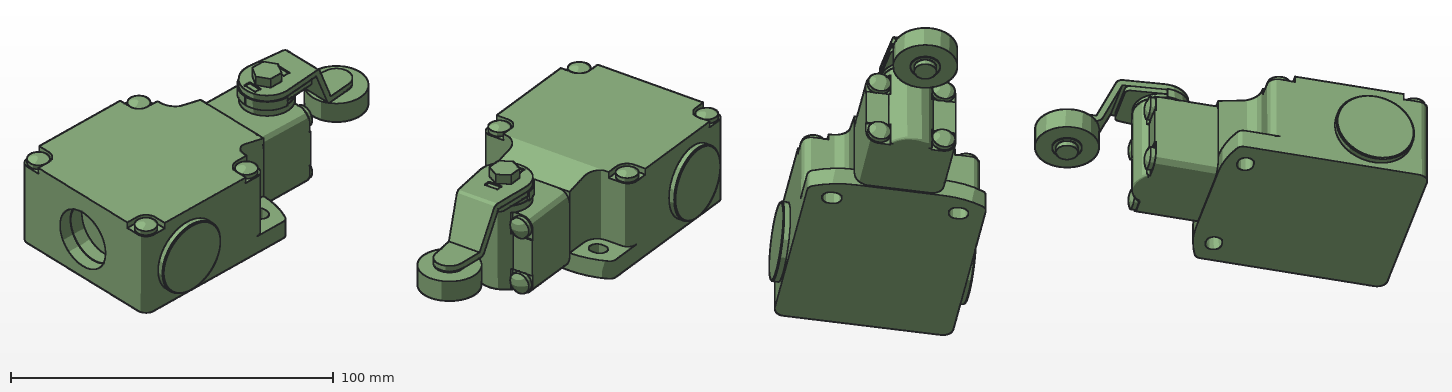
import cadquery as cq
import math


HOUSING_WIDTH = 56.3
BODY_LENGTH = 51.2
HOUSING_HEIGHT = 31.4
CORNER_RADIUS = 3.3
FLANGE_HEIGHT = 6.4
FLANGE_END_Y = 64.0
FLANGE_SWEEP_RADIUS = 29.7
FLANGE_CORNER_RADIUS = 2.4
NECK_FILLET = 5.0

SLOT_LENGTH = 6.2
SLOT_WIDTH = 5.1
SLOT_X = 20.0
SLOT_Y = 56.8

ENTRY_HEIGHT = 14.5
ENTRY_RADIUS = 10.0
ENTRY_DEPTH = 9.1
ENTRY_MOUTH_RADIUS = 10.2
ENTRY_MOUTH_DEPTH = 4.4
PLUG_RADIUS = 12.5
PLUG_THICKNESS = 2.3
PLUG_CHAMFER = 0.4
PLUG_Y = 17.8

SCREW_RADIUS = 3.6
SCREW_INSET = 4.0
SCREW_SHANK_HEIGHT = 1.5
SCREW_DOME_HEIGHT = 1.1
RECESS_SIZE = 8.2
RECESS_CORNER_RADIUS = 3.9
RECESS_DEPTH = 2.1

HEAD_WIDTH = 28.3
HEAD_BOTTOM = 0.5
HEAD_TOP = 28.5
HEAD_END_Y = 84.3
HEAD_EDGE_RADIUS = 4.3
HEAD_RECESS_SIZE = 7.6
HEAD_RECESS_DEPTH = 0.5
SHAFT_Y = 79.0
BOSS_RADIUS = 8.8
BOSS_TOP = 31.0
BOSS_BOTTOM_FILLET = 1.0

PLATE_THICKNESS = 2.1
PLATE_BOTTOM = 34.2
PLATE_TOP = PLATE_BOTTOM + PLATE_THICKNESS
FOOT_TOP = 21.9
FOOT_BOTTOM = FOOT_TOP - PLATE_THICKNESS
UPPER_BEND_Y = 93.0
ARM_ANGLE = 66.0
PLATE_END_RADIUS = 8.8
PLATE_TIP_RADIUS = 5.0
UPPER_BEND_HALF_WIDTH = 7.5
LOWER_BEND_HALF_WIDTH = 5.8
PLATE_SLOT_WIDTH = 4.9
PLATE_SLOT_LENGTH = 2.4
PLATE_SLOT_OFFSET = 6.2
BOLT_TOP = 39.7
BOLT_ACROSS_CORNERS = 9.5

HUB_FRONT_RADIUS = 9.3
HUB_BACK_RADIUS = 8.7
TONGUE_BOTTOM = 32.4
TONGUE_END_Y = 91.8
TONGUE_CORNER_RADIUS = 1.7
INDEX_NOTCH = 0.4
TAB_RECESS = 0.5

ROLLER_RADIUS = 10.0
ROLLER_TOP = 19.2
ROLLER_BOTTOM = 12.1
ROLLER_Y = 118.8 - ROLLER_RADIUS
PIN_RADIUS = 3.5
PIN_BOTTOM = 10.0
PIN_COLLAR_RADIUS = 4.6
LOWER_COLLAR_THICKNESS = 0.4

HALF_WIDTH = HOUSING_WIDTH / 2
HALF_HEAD = HEAD_WIDTH / 2
SIDES = (-1, 1)

ARM_SIN = math.sin(math.radians(ARM_ANGLE))
ARM_COS = math.cos(math.radians(ARM_ANGLE))
ARM_START_Y = UPPER_BEND_Y + PLATE_THICKNESS * ARM_SIN
ARM_START_Z = PLATE_BOTTOM + PLATE_THICKNESS * ARM_COS
LOWER_BEND_Y = ARM_START_Y + (ARM_START_Z - FOOT_TOP) * ARM_COS / ARM_SIN


def cylinder(x, y, radius, bottom, top):
    return cq.Workplane("XY", origin=(x, y, bottom)).circle(radius).extrude(top - bottom)


def block(x0, x1, y0, y1, z0, z1):
    return cq.Workplane("XY").box(x1 - x0, y1 - y0, z1 - z0, centered=False).translate((x0, y0, z0))


def domed_screw():
    """A screw standing on the XY plane, with a spherical cap."""
    shank = SCREW_SHANK_HEIGHT
    top = shank + SCREW_DOME_HEIGHT
    dome_radius = (SCREW_RADIUS**2 + SCREW_DOME_HEIGHT**2) / (2 * SCREW_DOME_HEIGHT)
    half_angle = math.asin(SCREW_RADIUS / dome_radius) / 2
    middle = (dome_radius * math.sin(half_angle), top - dome_radius * (1 - math.cos(half_angle)))
    return (
        cq.Workplane("XZ")
        .lineTo(SCREW_RADIUS, 0)
        .lineTo(SCREW_RADIUS, shank)
        .threePointArc(middle, (0, top))
        .close()
        .revolve(360, (0, 0), (0, 1))
    )


def flange():
    """Mounting flange with swept-back corners and two slots."""
    sweep_run = HALF_WIDTH - HALF_HEAD
    sweep_angle = math.asin(sweep_run / FLANGE_SWEEP_RADIUS)
    sweep_centre_y = FLANGE_END_Y - FLANGE_SWEEP_RADIUS
    middle_x = HALF_HEAD + FLANGE_SWEEP_RADIUS * math.sin(sweep_angle / 2)
    middle_y = sweep_centre_y + FLANGE_SWEEP_RADIUS * math.cos(sweep_angle / 2)
    corner_y = sweep_centre_y + FLANGE_SWEEP_RADIUS * math.cos(sweep_angle)
    start_y = BODY_LENGTH / 2
    plate = (
        cq.Workplane("XY")
        .moveTo(-HALF_WIDTH, start_y)
        .lineTo(-HALF_WIDTH, corner_y)
        .threePointArc((-middle_x, middle_y), (-HALF_HEAD, FLANGE_END_Y))
        .lineTo(HALF_HEAD, FLANGE_END_Y)
        .threePointArc((middle_x, middle_y), (HALF_WIDTH, corner_y))
        .lineTo(HALF_WIDTH, start_y)
        .close()
        .extrude(FLANGE_HEIGHT)
    )
    corner_box = cq.selectors.BoxSelector(
        (-HALF_WIDTH - 1.2, corner_y - 1.2, -1.2), (HALF_WIDTH + 1.2, corner_y + 1.2, FLANGE_HEIGHT + 1.2)
    )
    plate = plate.edges("|Z").edges(corner_box).fillet(FLANGE_CORNER_RADIUS)
    slots = (
        cq.Workplane("XY")
        .pushPoints([(side * SLOT_X, SLOT_Y) for side in SIDES])
        .slot2D(SLOT_LENGTH, SLOT_WIDTH)
        .extrude(FLANGE_HEIGHT)
    )
    return plate.cut(slots)


def neck():
    """Tapered block that joins the housing to the head, flared into the housing's end wall."""
    flare_half = HALF_HEAD + NECK_FILLET
    flare_y = BODY_LENGTH + NECK_FILLET
    arc_offset = NECK_FILLET * (1 - math.sqrt(0.5))
    arc_x = HALF_HEAD + arc_offset
    arc_y = BODY_LENGTH + arc_offset
    start_y = BODY_LENGTH - CORNER_RADIUS
    plan = (
        cq.Workplane("XY")
        .moveTo(-flare_half, start_y)
        .lineTo(-flare_half, BODY_LENGTH)
        .threePointArc((-arc_x, arc_y), (-HALF_HEAD, flare_y))
        .lineTo(-HALF_HEAD, FLANGE_END_Y)
        .lineTo(HALF_HEAD, FLANGE_END_Y)
        .lineTo(HALF_HEAD, flare_y)
        .threePointArc((arc_x, arc_y), (flare_half, BODY_LENGTH))
        .lineTo(flare_half, start_y)
        .close()
        .extrude(HOUSING_HEIGHT)
    )
    side_profile = (
        cq.Workplane("YZ")
        .polyline([
            (start_y, 0),
            (start_y, HOUSING_HEIGHT),
            (BODY_LENGTH, HOUSING_HEIGHT),
            (FLANGE_END_Y, HEAD_TOP),
            (FLANGE_END_Y, 0),
        ])
        .close()
        .extrude(flare_half, both=True)
    )
    return plan.intersect(side_profile)


def make_housing():
    housing = (
        block(-HALF_WIDTH, HALF_WIDTH, 0, BODY_LENGTH, 0, HOUSING_HEIGHT)
        .edges("|Z")
        .fillet(CORNER_RADIUS)
        .union(flange())
        .union(neck())
    )

    floor = HOUSING_HEIGHT - RECESS_DEPTH
    reach = 2 * RECESS_SIZE
    centre_y = BODY_LENGTH / 2
    inner_x = HALF_WIDTH - RECESS_SIZE
    inner_y = centre_y - RECESS_SIZE
    for x_side in SIDES:
        for y_side in SIDES:
            recess = (
                cq.Workplane("XY")
                .box(reach, reach, RECESS_DEPTH, centered=False)
                .edges("|Z and <X and <Y")
                .fillet(RECESS_CORNER_RADIUS)
            )
            recess = recess.intersect(block(0, reach, 0, RECESS_SIZE, 0, RECESS_DEPTH))
            recess = recess.translate((inner_x, inner_y, floor))
            screw = domed_screw().translate((HALF_WIDTH - SCREW_INSET, centre_y - SCREW_INSET, floor))
            if x_side < 0:
                recess = recess.mirror("YZ")
                screw = screw.mirror("YZ")
            if y_side < 0:
                recess = recess.mirror("XZ")
                screw = screw.mirror("XZ")
            housing = housing.cut(recess.translate((0, centre_y, 0)))
            housing = housing.union(screw.translate((0, centre_y, 0)))

    entry_plane = cq.Workplane("XZ", origin=(0, 0, ENTRY_HEIGHT))
    entry = entry_plane.circle(ENTRY_RADIUS).extrude(-ENTRY_DEPTH)
    mouth = entry_plane.circle(ENTRY_MOUTH_RADIUS).extrude(-ENTRY_MOUTH_DEPTH)
    return housing.cut(entry).cut(mouth)


def make_plug(side):
    """Round plug lying against one side wall of the housing."""
    return (
        cq.Workplane("YZ", origin=(side * HALF_WIDTH, PLUG_Y, ENTRY_HEIGHT))
        .circle(PLUG_RADIUS)
        .extrude(side * PLUG_THICKNESS)
        .faces(">X" if side > 0 else "<X")
        .chamfer(PLUG_CHAMFER)
    )


def make_head():
    head = (
        block(-HALF_HEAD, HALF_HEAD, FLANGE_END_Y, HEAD_END_Y, HEAD_BOTTOM, HEAD_TOP)
        .edges("|Y")
        .fillet(HEAD_EDGE_RADIUS)
    )
    boss = cylinder(0, SHAFT_Y, BOSS_RADIUS, HEAD_BOTTOM, BOSS_TOP)
    head = head.union(boss.faces("<Z").edges().fillet(BOSS_BOTTOM_FILLET))

    floor_y = HEAD_END_Y - HEAD_RECESS_DEPTH
    boss_end_y = SHAFT_Y + BOSS_RADIUS
    centre_z = (HEAD_BOTTOM + HEAD_TOP) / 2
    half_height = (HEAD_TOP - HEAD_BOTTOM) / 2
    screw = domed_screw().rotate((0, 0, 0), (1, 0, 0), -90)
    for x_side in SIDES:
        for z_side in SIDES:
            recess_x = x_side * (HALF_HEAD - HEAD_RECESS_SIZE / 2)
            recess_z = centre_z + z_side * (half_height - HEAD_RECESS_SIZE / 2)
            recess = cq.Workplane("XZ", origin=(recess_x, floor_y, recess_z)).rect(
                HEAD_RECESS_SIZE, HEAD_RECESS_SIZE
            )
            head = head.cut(recess.extrude(floor_y - boss_end_y))
            screw_x = x_side * (HALF_HEAD - SCREW_INSET)
            screw_z = centre_z + z_side * (half_height - SCREW_INSET)
            head = head.union(screw.translate((screw_x, floor_y, screw_z)))
    return head


def plate_plan(bottom, top):
    """The lever's outline seen from above: a round end, a taper kinked at both bends, and a round tip."""
    tip_run = ROLLER_Y - LOWER_BEND_Y
    tip_distance = math.hypot(tip_run, LOWER_BEND_HALF_WIDTH)
    tip_angle = math.acos(PLATE_TIP_RADIUS / tip_distance) - math.atan2(tip_run, LOWER_BEND_HALF_WIDTH)
    tip_x = PLATE_TIP_RADIUS * math.cos(tip_angle)
    tip_y = ROLLER_Y + PLATE_TIP_RADIUS * math.sin(tip_angle)
    end_run = UPPER_BEND_Y - SHAFT_Y
    end_distance = math.hypot(end_run, UPPER_BEND_HALF_WIDTH)
    end_angle = math.atan2(end_run, UPPER_BEND_HALF_WIDTH) - math.acos(PLATE_END_RADIUS / end_distance)
    end_x = PLATE_END_RADIUS * math.cos(end_angle)
    end_y = SHAFT_Y + PLATE_END_RADIUS * math.sin(end_angle)
    return (
        cq.Workplane("XY", origin=(0, 0, bottom))
        .moveTo(end_x, end_y)
        .lineTo(UPPER_BEND_HALF_WIDTH, UPPER_BEND_Y)
        .lineTo(LOWER_BEND_HALF_WIDTH, LOWER_BEND_Y)
        .lineTo(tip_x, tip_y)
        .threePointArc((0, ROLLER_Y + PLATE_TIP_RADIUS), (-tip_x, tip_y))
        .lineTo(-LOWER_BEND_HALF_WIDTH, LOWER_BEND_Y)
        .lineTo(-UPPER_BEND_HALF_WIDTH, UPPER_BEND_Y)
        .lineTo(-end_x, end_y)
        .threePointArc((0, SHAFT_Y - PLATE_END_RADIUS), (end_x, end_y))
        .close()
        .extrude(top - bottom)
    )


def slot_blocks(height):
    """Two rectangular blocks on the hub's top face: the plate's slots and the tabs that fill them."""
    return (
        cq.Workplane("XY", origin=(0, SHAFT_Y, PLATE_BOTTOM))
        .pushPoints([(0, side * PLATE_SLOT_OFFSET) for side in SIDES])
        .rect(PLATE_SLOT_WIDTH, PLATE_SLOT_LENGTH)
        .extrude(height)
    )


def make_lever():
    """Bent lever plate with its hexagon bolt head and the roller's pin."""
    start_y = SHAFT_Y - PLATE_END_RADIUS
    tip_y = ROLLER_Y + PLATE_TIP_RADIUS
    half_sin = PLATE_THICKNESS * math.sin(math.radians(ARM_ANGLE / 2))
    half_cos = PLATE_THICKNESS * math.cos(math.radians(ARM_ANGLE / 2))
    arm_end = (LOWER_BEND_Y - PLATE_THICKNESS * ARM_SIN, FOOT_TOP - PLATE_THICKNESS * ARM_COS)
    profile = (
        cq.Workplane("YZ")
        .moveTo(start_y, PLATE_BOTTOM)
        .lineTo(start_y, PLATE_TOP)
        .lineTo(UPPER_BEND_Y, PLATE_TOP)
        .threePointArc((UPPER_BEND_Y + half_sin, PLATE_BOTTOM + half_cos), (ARM_START_Y, ARM_START_Z))
        .lineTo(LOWER_BEND_Y, FOOT_TOP)
        .lineTo(tip_y, FOOT_TOP)
        .lineTo(tip_y, FOOT_BOTTOM)
        .lineTo(LOWER_BEND_Y, FOOT_BOTTOM)
        .threePointArc((LOWER_BEND_Y - half_sin, FOOT_TOP - half_cos), arm_end)
        .lineTo(UPPER_BEND_Y, PLATE_BOTTOM)
        .close()
        .extrude(PLATE_END_RADIUS, both=True)
    )
    plate = profile.intersect(plate_plan(FOOT_BOTTOM, PLATE_TOP))
    bolt_head = (
        cq.Workplane("XY")
        .polygon(6, BOLT_ACROSS_CORNERS)
        .extrude(BOLT_TOP - PLATE_TOP)
        .rotate((0, 0, 0), (0, 0, 1), 90)
        .translate((0, SHAFT_Y, PLATE_TOP))
    )
    pin = cylinder(0, ROLLER_Y, PIN_RADIUS, PIN_BOTTOM, FOOT_BOTTOM)
    upper_collar = cylinder(0, ROLLER_Y, PIN_COLLAR_RADIUS, ROLLER_TOP, FOOT_BOTTOM)
    collar_bottom = ROLLER_BOTTOM - LOWER_COLLAR_THICKNESS
    lower_collar = cylinder(0, ROLLER_Y, PIN_COLLAR_RADIUS, collar_bottom, ROLLER_BOTTOM)
    plate = plate.cut(slot_blocks(PLATE_THICKNESS))
    return plate.union(bolt_head).union(pin).union(upper_collar).union(lower_collar)


def make_hub():
    """Stepped disc under the lever, with a tongue, an index notch and tabs in the plate's slots."""
    rim = HUB_FRONT_RADIUS
    front = cylinder(0, SHAFT_Y, rim, BOSS_TOP, PLATE_BOTTOM).intersect(
        block(-rim, rim, SHAFT_Y - rim, SHAFT_Y, BOSS_TOP, PLATE_BOTTOM)
    )
    back = cylinder(0, SHAFT_Y, HUB_BACK_RADIUS, BOSS_TOP, PLATE_BOTTOM)
    tongue = (
        plate_plan(TONGUE_BOTTOM, PLATE_BOTTOM)
        .intersect(block(-rim, rim, SHAFT_Y, TONGUE_END_Y, TONGUE_BOTTOM, PLATE_BOTTOM))
        .edges("|Z and >Y")
        .fillet(TONGUE_CORNER_RADIUS)
    )
    notch = block(
        -INDEX_NOTCH / 2, INDEX_NOTCH / 2, SHAFT_Y - rim, SHAFT_Y - rim + INDEX_NOTCH, BOSS_TOP, PLATE_BOTTOM
    )
    tabs = slot_blocks(PLATE_THICKNESS - TAB_RECESS)
    return front.union(back).union(tongue).union(tabs).cut(notch)


def make_roller():
    roller = cylinder(0, ROLLER_Y, ROLLER_RADIUS, ROLLER_BOTTOM, ROLLER_TOP)
    return roller.cut(cylinder(0, ROLLER_Y, PIN_RADIUS, ROLLER_BOTTOM, ROLLER_TOP))


housing = make_housing()
plugs = [make_plug(side) for side in SIDES]
head = make_head()
hub = make_hub()
lever = make_lever()
roller = make_roller()

result = cq.Compound.makeCompound([
    housing.val(),
    *[plug.val() for plug in plugs],
    head.val(),
    hub.val(),
    lever.val(),
    roller.val(),
])